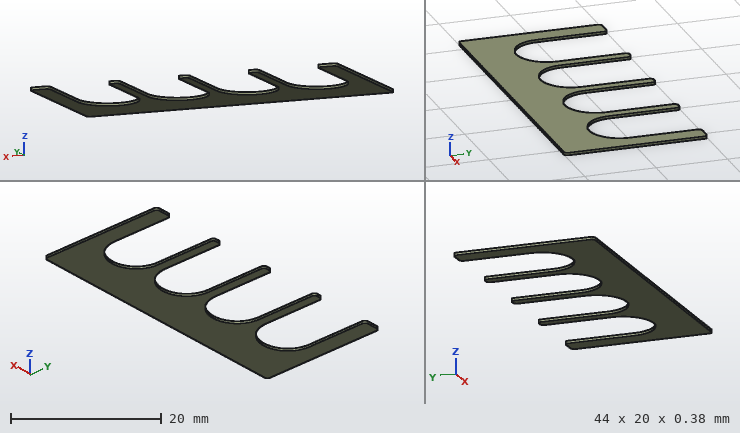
import cadquery as cq

plate_length = 44.0
plate_width = 20.0
plate_thickness = 0.38
corner_radius = 0.5

slot_count = 4
slot_pitch = 10.0
slot_width = 8.5
slot_radius = slot_width / 2
slot_centre_y = 0.0


def make_plate():
    """Flat rectangular plate, centred on the origin."""
    return cq.Workplane("XY").box(plate_length, plate_width, plate_thickness)


def make_slot(centre_x):
    """Cutter for one U-shaped slot that opens through the +Y edge."""
    left = centre_x - slot_radius
    right = centre_x + slot_radius
    open_end = plate_width / 2
    return (
        cq.Workplane("XY")
        .moveTo(left, open_end)
        .lineTo(left, slot_centre_y)
        .threePointArc((centre_x, slot_centre_y - slot_radius), (right, slot_centre_y))
        .lineTo(right, open_end)
        .close()
        .extrude(plate_thickness, both=True)
    )


def round_corners(body):
    """Round the plate corners and the finger tips, leaving the slot bottoms alone."""
    front_corners = body.faces("<Y").edges("|Z")
    finger_corners = body.faces(">Y").edges("|Z")
    return body.newObject(front_corners.vals() + finger_corners.vals()).fillet(corner_radius)


plate = make_plate()
first_slot_x = -slot_pitch * (slot_count - 1) / 2
for index in range(slot_count):
    plate = plate.cut(make_slot(first_slot_x + index * slot_pitch))

result = round_corners(plate)